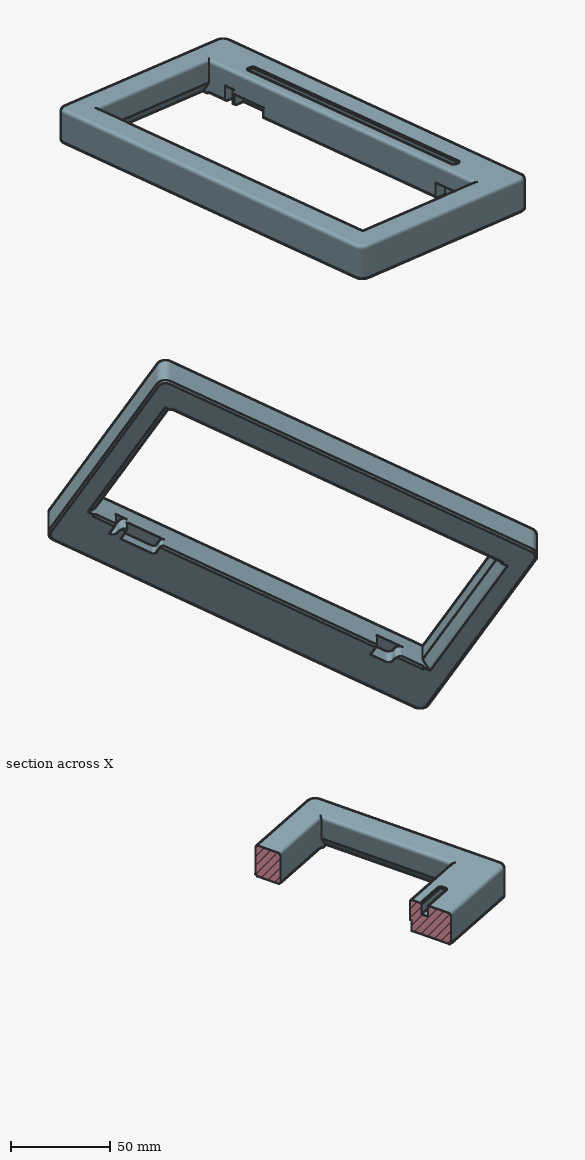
import cadquery as cq

LENGTH = 221.5
WIDTH = 117.2
HEIGHT = 19.0
CORNER_RADIUS = 5.0
TOP_ROUND = 2.0
BOTTOM_CHAMFER = 1.0

WINDOW_LENGTH = 191.2
WINDOW_REAR = 33.7
WINDOW_FRONT = -43.5
WINDOW_WIDTH = WINDOW_REAR - WINDOW_FRONT
WINDOW_Y = (WINDOW_REAR + WINDOW_FRONT) / 2
WINDOW_ROUND = 1.88

RELIEF_HEIGHT = 6.5
RELIEF_REACH = 3.3

SLOT_LENGTH = 149.0
SLOT_WIDTH = 3.5
SLOT_Y = 42.5
SLOT_DEPTH = 6.6
SLOT_CORNER_RADIUS = 0.7
SLOT_CHAMFER = 0.7

RECESS_DEPTH = 6.5
RECESS_HEIGHT = 8.9
RECESS_BEND = 3.0
RIGHT_RECESS = (68.9, 83.7)
LEFT_RECESS = (-83.7, -77.3)

PASSAGE = (-77.0, -55.5)
PASSAGE_HEIGHT = 6.5
PASSAGE_BEND = 3.3 / 2

CLEARANCE = 2.2


def frame_body():
    body = cq.Workplane("XY").box(LENGTH, WIDTH, HEIGHT, centered=(True, True, False))
    body = body.edges("|Z").fillet(CORNER_RADIUS)
    body = body.faces(">Z").edges().fillet(TOP_ROUND)
    window_rim = cq.selectors.BoxSelector(
        (-WINDOW_LENGTH / 2 - CLEARANCE, WINDOW_FRONT - CLEARANCE, 0),
        (WINDOW_LENGTH / 2 + CLEARANCE, WINDOW_REAR + CLEARANCE, HEIGHT + CLEARANCE),
    )
    window = (
        cq.Workplane("XY")
        .center(0, WINDOW_Y)
        .rect(WINDOW_LENGTH, WINDOW_WIDTH)
        .extrude(HEIGHT)
    )
    body = body.cut(window)
    body = body.faces(">Z").edges(window_rim).fillet(WINDOW_ROUND)
    return body.faces("<Z").edges().chamfer(BOTTOM_CHAMFER)


def wall_relief():
    """Sloped undercut of the right short wall, ending in the bottom chamfer."""
    wall = WINDOW_LENGTH / 2
    foot = wall + RELIEF_REACH
    return (
        cq.Workplane("XZ", origin=(0, WINDOW_REAR, 0))
        .moveTo(wall, RELIEF_HEIGHT)
        .lineTo(foot, BOTTOM_CHAMFER)
        .lineTo(foot + BOTTOM_CHAMFER, 0)
        .lineTo(wall - CLEARANCE, 0)
        .lineTo(wall - CLEARANCE, RELIEF_HEIGHT)
        .close()
        .extrude(WINDOW_WIDTH)
    )


def cut_top_slot(body):
    floor = HEIGHT - SLOT_DEPTH
    slot = (
        cq.Workplane("XY", origin=(0, SLOT_Y, floor))
        .rect(SLOT_LENGTH, SLOT_WIDTH)
        .extrude(SLOT_DEPTH)
        .edges("|Z")
        .fillet(SLOT_CORNER_RADIUS)
    )
    rim = cq.selectors.BoxSelector(
        (-SLOT_LENGTH / 2 - SLOT_CHAMFER, SLOT_Y - SLOT_WIDTH, HEIGHT - SLOT_CHAMFER),
        (SLOT_LENGTH / 2 + SLOT_CHAMFER, SLOT_Y + SLOT_WIDTH, HEIGHT + SLOT_CHAMFER),
    )
    return body.cut(slot).edges(rim).chamfer(SLOT_CHAMFER)


def recess(span, height, bend):
    """Pocket in the rear bar whose right end wall has a rounded mouth and back corner."""
    start, end = span
    mouth = WINDOW_REAR
    back = mouth + RECESS_DEPTH
    wall = end - bend
    return (
        cq.Workplane("XY")
        .moveTo(start, mouth - CLEARANCE)
        .lineTo(end, mouth - CLEARANCE)
        .lineTo(end, mouth)
        .radiusArc((wall, mouth + bend), bend)
        .lineTo(wall, back - bend)
        .radiusArc((wall - bend, back), -bend)
        .lineTo(start, back)
        .close()
        .extrude(height)
    )


relief = wall_relief()
result = cut_top_slot(frame_body())
result = result.cut(relief).cut(relief.mirror("YZ"))
for recess_span in (RIGHT_RECESS, LEFT_RECESS):
    result = result.cut(recess(recess_span, RECESS_HEIGHT, RECESS_BEND))
result = result.cut(recess(PASSAGE, PASSAGE_HEIGHT, PASSAGE_BEND))